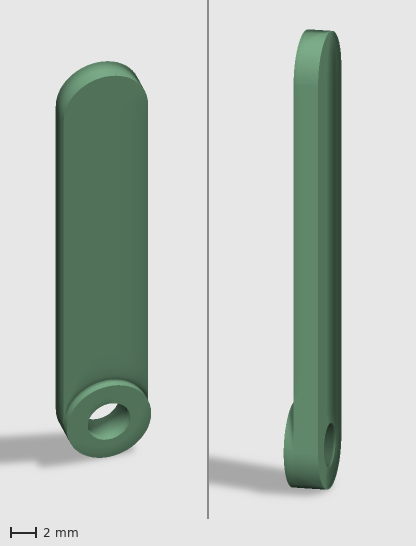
import cadquery as cq

length = 37.0
width = 7.0
bar_thickness = 2.0
boss_height = 0.8
hole_diameter = 3.5

pivot_z = -(length - width) / 2

bar = cq.Workplane("YZ").slot2D(length, width, 90).extrude(bar_thickness)

boss = (
    cq.Workplane("YZ", origin=(bar_thickness, 0, 0))
    .center(0, pivot_z)
    .circle(width / 2)
    .extrude(boss_height)
)

hole = (
    cq.Workplane("YZ")
    .center(0, pivot_z)
    .circle(hole_diameter / 2)
    .extrude(bar_thickness + boss_height)
)

result = bar.union(boss).cut(hole)